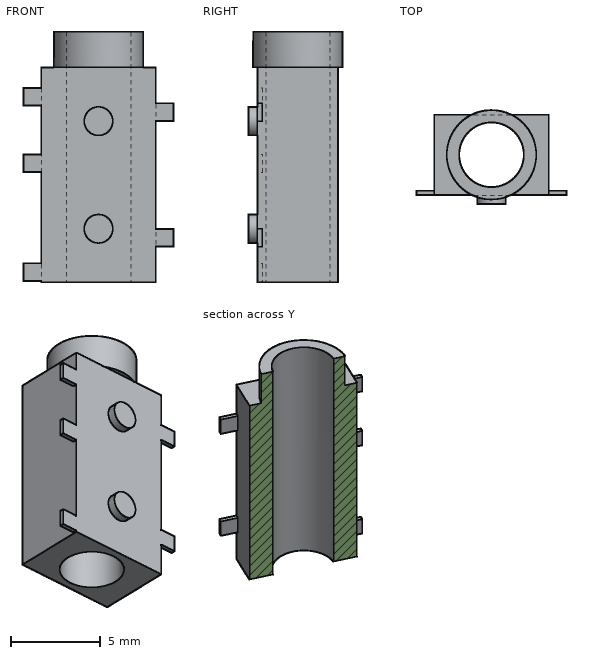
import cadquery as cq

total_height = 14.0
barrel_height = 2.0
body_height = total_height - barrel_height

body_width = 6.4
body_depth = 4.5
front_y = -body_depth / 2

barrel_diameter = 5.0
bore_diameter = 3.6

peg_diameter = 1.6
peg_length = 0.5
peg_heights = (3.0, 9.0)

tab_span = 8.4
tab_reach = (tab_span - body_width) / 2
tab_height = 1.0
tab_thickness = 0.25
left_tab_heights = (0.57, 6.65, 10.36)
right_tab_heights = (2.49, 9.5)


def make_tab(side, center_z):
    """Tab outside the body; side is -1 for left (-X) and +1 for right (+X)."""
    center_x = side * (body_width + tab_reach) / 2
    center_y = front_y + tab_thickness / 2
    return cq.Workplane("XY").box(tab_reach, tab_thickness, tab_height).translate(
        (center_x, center_y, center_z)
    )


def make_peg(center_z):
    """Round peg projecting forward (-Y) from the front face."""
    return (
        cq.Workplane("XZ", origin=(0, front_y, center_z))
        .circle(peg_diameter / 2)
        .extrude(peg_length)
    )


body = cq.Workplane("XY").box(body_width, body_depth, body_height, centered=(True, True, False))
barrel = (
    cq.Workplane("XY", origin=(0, 0, body_height))
    .circle(barrel_diameter / 2)
    .extrude(barrel_height)
)
bore = cq.Workplane("XY").circle(bore_diameter / 2).extrude(total_height)

result = body.union(barrel).cut(bore)
for height in peg_heights:
    result = result.union(make_peg(height))
for height in left_tab_heights:
    result = result.union(make_tab(-1, height))
for height in right_tab_heights:
    result = result.union(make_tab(1, height))